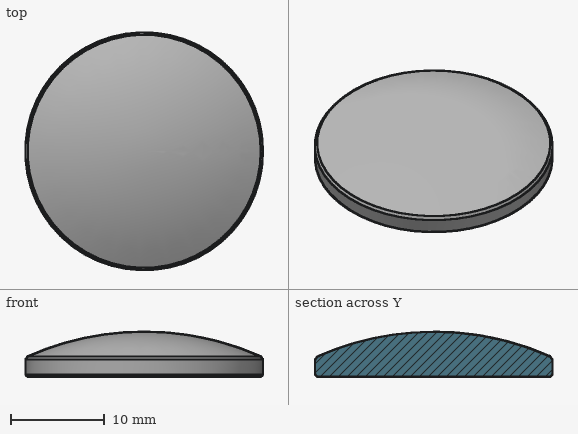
import cadquery as cq

diameter = 25.4
center_thickness = 4.85
rim_height = 2.2
top_bevel_width = 0.25
top_bevel_height = 0.35
bottom_bevel = 0.25

radius = diameter / 2
dome_radius = radius - top_bevel_width
dome_rise = center_thickness - rim_height
sphere_radius = (dome_radius**2 + dome_rise**2) / (2 * dome_rise)

mid_x = dome_radius / 2
sphere_center_z = center_thickness - sphere_radius
mid_z = sphere_center_z + (sphere_radius**2 - mid_x**2) ** 0.5

half_section = (
    cq.Workplane("XZ")
    .lineTo(radius - bottom_bevel, 0)
    .lineTo(radius, bottom_bevel)
    .lineTo(radius, rim_height - top_bevel_height)
    .lineTo(dome_radius, rim_height)
    .threePointArc((mid_x, mid_z), (0, center_thickness))
    .close()
)

result = half_section.revolve(360, (0, 0, 0), (0, 1, 0))